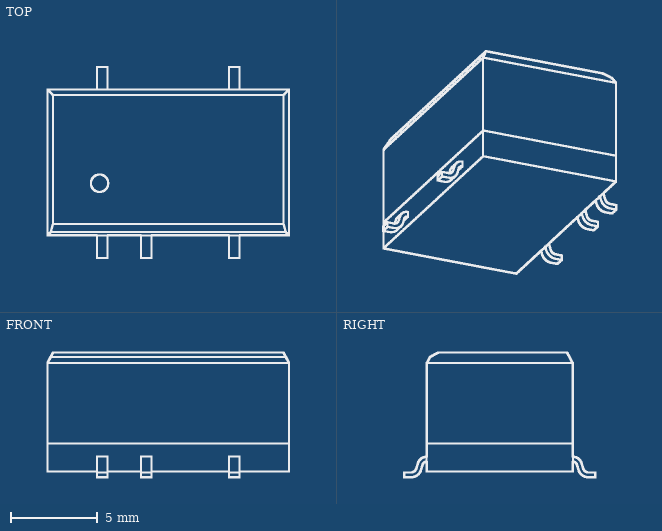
import cadquery as cq
import math

body_length = 13.9
body_width = 8.4
overall_width = 11.0
overall_height = 7.19
standoff = 0.33

base_height = 1.63
cover_bottom = standoff + base_height
cover_height = overall_height - cover_bottom
bevel_height = 0.61
bevel_slant = 28.0
bevel_inset = bevel_height * math.tan(math.radians(bevel_slant))
front_facet_height = 0.25
front_facet_inset = 0.67

dimple_radius = 0.5
dimple_depth = 0.6
dimple_x = -3.95
dimple_y = -1.2

lead_width = 0.61
lead_thickness = 0.29
lead_top = 1.2
lead_pitch = 2.53
lead_bend_angle = 73.0
upper_bend_radius = 0.39
lower_bend_radius = 0.46
outer_lead_x = 1.5 * lead_pitch
inner_lead_x = 0.5 * lead_pitch
front_lead_positions = [-outer_lead_x, -inner_lead_x, outer_lead_x]
back_lead_positions = [-outer_lead_x, outer_lead_x]


def make_cover():
    """Solid block with a bevelled top edge, a front facet and a pin 1 dimple."""
    wall_height = cover_height - bevel_height
    walls = (
        cq.Workplane("XY")
        .workplane(offset=cover_bottom)
        .rect(body_length, body_width)
        .extrude(wall_height)
    )
    bevelled_top = (
        cq.Workplane("XY")
        .workplane(offset=cover_bottom + wall_height)
        .rect(body_length, body_width)
        .extrude(bevel_height, taper=bevel_slant)
    )
    cover = walls.union(bevelled_top)
    return cover.cut(front_facet_cutter()).cut(dimple_cutter())


def front_facet_cutter():
    """Triangular bar, along X, that removes the front top edge of the cover."""
    front = -body_width / 2
    facet_bottom = overall_height - front_facet_height
    facet_bottom_inset = bevel_inset - front_facet_height * math.tan(math.radians(bevel_slant))
    return (
        cq.Workplane("YZ")
        .moveTo(front + facet_bottom_inset, facet_bottom)
        .lineTo(front + front_facet_inset, overall_height)
        .lineTo(front + facet_bottom_inset, overall_height)
        .close()
        .extrude(body_length / 2, both=True)
    )


def dimple_cutter():
    """Round blind hole in the top face."""
    return (
        cq.Workplane("XY")
        .workplane(offset=overall_height - dimple_depth)
        .center(dimple_x, dimple_y)
        .circle(dimple_radius)
        .extrude(dimple_depth)
    )


def bend_point(centre, radius, degrees):
    """Point on a bend, at an angle measured from +Y towards +Z."""
    angle = math.radians(degrees)
    return (centre[0] + radius * math.cos(angle), centre[1] + radius * math.sin(angle))


def make_back_lead(x):
    """S-shaped strip standing out from the back face, centred on x."""
    face = body_width / 2
    tip = overall_width / 2
    top_line = lead_top - lead_thickness / 2
    foot_line = lead_thickness / 2

    upper_centre = (face, top_line - upper_bend_radius)
    upper_end = bend_point(upper_centre, upper_bend_radius, 90 - lead_bend_angle)

    bend = math.radians(lead_bend_angle)
    bends_drop = (upper_bend_radius + lower_bend_radius) * (1 - math.cos(bend))
    shank_drop = top_line - foot_line - bends_drop
    shank_end = (upper_end[0] + shank_drop / math.tan(bend), upper_end[1] - shank_drop)

    lower_centre = (
        shank_end[0] + lower_bend_radius * math.sin(bend),
        foot_line + lower_bend_radius,
    )
    foot_start = (lower_centre[0], foot_line)

    strip_middle = (
        cq.Workplane("YZ", origin=(x, 0, 0))
        .moveTo(face, top_line)
        .threePointArc(
            bend_point(upper_centre, upper_bend_radius, 90 - lead_bend_angle / 2),
            upper_end,
        )
        .lineTo(*shank_end)
        .threePointArc(
            bend_point(lower_centre, lower_bend_radius, 270 - lead_bend_angle / 2),
            foot_start,
        )
        .lineTo(tip, foot_line)
    )
    return (
        cq.Workplane("XZ", origin=(x, face, top_line))
        .rect(lead_width, lead_thickness)
        .sweep(strip_middle)
    )


def make_base():
    """Plain block carrying the leads of the front and back rows."""
    base = (
        cq.Workplane("XY")
        .workplane(offset=standoff)
        .rect(body_length, body_width)
        .extrude(base_height)
    )
    for x in back_lead_positions:
        base = base.union(make_back_lead(x))
    for x in front_lead_positions:
        base = base.union(make_back_lead(x).mirror("XZ"))
    return base


cover = make_cover()
base = make_base()

result = cq.Compound.makeCompound([cover.val(), base.val()])